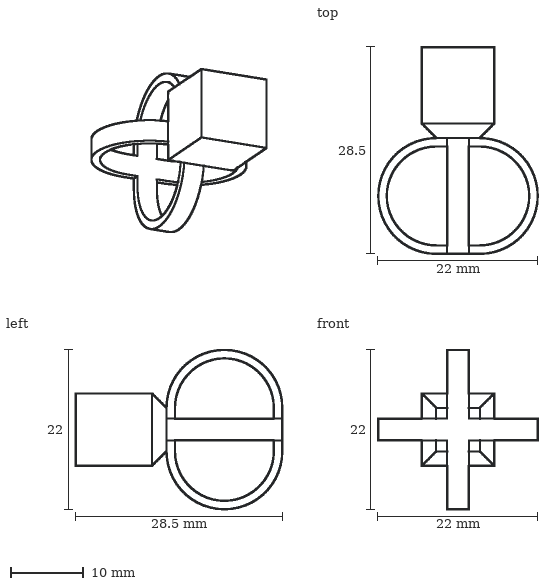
import cadquery as cq

overall_length = 28.5
loop_span = 22.0
loop_depth = 16.0
loop_wall = 1.2
band_width = 3.0
block_side = 10.0
taper_length = 2.0

flat_length = loop_span - loop_depth
tip_side = flat_length
inner_span = loop_span - 2 * loop_wall
inner_depth = loop_depth - 2 * loop_wall
taper_front = loop_depth / 2
block_front = taper_front + taper_length
block_length = overall_length - loop_depth - taper_length


def make_loop():
    """Racetrack band lying in the XY plane, centred on the origin."""
    outer = cq.Workplane("XY").slot2D(loop_span, loop_depth).extrude(band_width / 2, both=True)
    opening = cq.Workplane("XY").slot2D(inner_span, inner_depth).extrude(band_width / 2, both=True)
    return outer.cut(opening)


def make_cage():
    """Two loops crossing at right angles, merged where they cross."""
    flat_loop = make_loop()
    upright_loop = make_loop().rotate((0, 0, 0), (0, 1, 0), 90)
    return flat_loop.union(upright_loop)


def make_handle():
    """Square block with a tapered end that rests against the cage."""
    block = (
        cq.Workplane("XZ", origin=(0, block_front, 0))
        .rect(block_side, block_side)
        .extrude(-block_length)
    )
    taper = (
        cq.Workplane("XZ", origin=(0, taper_front, 0))
        .rect(tip_side, tip_side)
        .workplane(offset=-taper_length)
        .rect(block_side, block_side)
        .loft(ruled=True)
    )
    return block.union(taper)


cage = make_cage()
handle = make_handle()

result = cq.Compound.makeCompound([cage.solids().val(), handle.solids().val()])